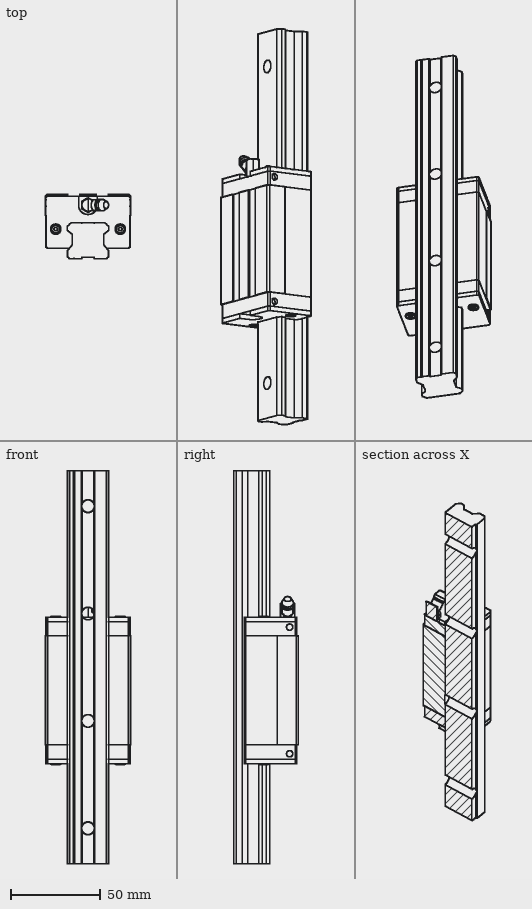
import cadquery as cq


RAIL_LENGTH = 220.0
RAIL_HEIGHT = 20.2
RAIL_WIDTH = 23.0
RAIL_TOP_HALF_WIDTH = 9.5
WAIST_HALF_WIDTH = 8.8
HEAD_TOP_Y = 18.3
HEAD_BOTTOM_Y = 16.0
RACEWAY_BREAK = (10.5, 15.2)
WAIST_TOP_Y = 13.9
WAIST_BOTTOM_Y = 8.0
FOOT_TOP_Y = 4.6
FOOT_CHAMFER = 1.3
RELIEF_HALF_WIDTH = 3.7
RELIEF_FLOOR_HALF_WIDTH = 3.0
RELIEF_DEPTH = 0.9
MARK_X = -8.0
MARK_WIDTH = 0.9
MARK_DEPTH = 0.5
HOLE_DIAMETER = 7.0
HOLE_PITCH = 60.0
HOLE_COUNT = 4

CARRIAGE_CENTER_Z = -13.0
BLOCK_LENGTH = 61.0
CAP_LENGTH = 8.0
SEAL_LENGTH = 2.6
CARRIAGE_BOTTOM_Y = 6.0
BLOCK_TOP_Y = 36.0
BLOCK_HALF_WIDTH = 24.0
BLOCK_STEP_Y = 24.5
BLOCK_TOP_CHAMFER = 1.0
CAP_TOP_Y = 35.2
CAP_HALF_WIDTH = 23.5
CAP_TOP_CHAMFER = 0.9
BOTTOM_CHAMFER_WIDTH = 1.0
BOTTOM_CHAMFER_HEIGHT = 0.7
PAD_GROOVE_INNER_X = 4.6
PAD_GROOVE_OUTER_X = 11.2
PAD_GROOVE_DEPTH = 0.9

PORT_DIAMETER = 3.5
PORT_DEPTH = 2.2
PORT_Y = 31.2
PORT_OFFSET_Z = 35.5

SCREW_X = 18.0
SCREW_Y = 16.7
SCREW_HEAD_DIAMETER = 5.7
SCREW_HEAD_HEIGHT = 0.5
SCREW_RIM_HEIGHT = 0.2
SCREW_TOP_DIAMETER = 4.5
SOCKET_DIAMETER = 2.2
SOCKET_DEPTH = 1.0

NIPPLE_Y = 30.1
NOTCH_RADIUS = 5.3
HEX_CIRCUMDIAMETER = 8.1
HEX_HEIGHT = 10.5
HEX_CHAMFER = 0.7
SPOUT_ANGLE = 45.0
SPOUT_START = 3.7
COLLAR_RADIUS = 3.0
NECK_RADIUS = 2.2
HEAD_RADIUS = 3.3
TIP_RADIUS = 2.0
COLLAR_LENGTH = 4.8
NECK_LENGTH = 0.9
HEAD_LENGTH = 1.8
TIP_LENGTH = 3.0

rail_half_width = RAIL_WIDTH / 2

cap_inner = BLOCK_LENGTH / 2
seal_inner = cap_inner + CAP_LENGTH
seal_outer = seal_inner + SEAL_LENGTH


def mirrored_outline(right_side):
    """Close a right-hand outline with its mirror image across X = 0."""
    left_side = [(-x, y) for x, y in reversed(right_side)]
    return cq.Workplane("XY").polyline(right_side + left_side).close()


def rail_prism():
    """Full-length rail section without its grooves and holes."""
    right_side = [
        (rail_half_width - FOOT_CHAMFER, 0),
        (rail_half_width, FOOT_CHAMFER),
        (rail_half_width, FOOT_TOP_Y),
        (WAIST_HALF_WIDTH, WAIST_BOTTOM_Y),
        (WAIST_HALF_WIDTH, WAIST_TOP_Y),
        RACEWAY_BREAK,
        (rail_half_width, HEAD_BOTTOM_Y),
        (rail_half_width, HEAD_TOP_Y),
        (RAIL_TOP_HALF_WIDTH, RAIL_HEIGHT),
    ]
    prism = mirrored_outline(right_side).extrude(RAIL_LENGTH)
    return prism.translate((0, 0, -RAIL_LENGTH / 2))


def make_rail():
    relief = mirrored_outline([(RELIEF_HALF_WIDTH, 0), (RELIEF_FLOOR_HALF_WIDTH, RELIEF_DEPTH)])
    mark = (
        cq.Workplane("XY")
        .polyline([(MARK_X - MARK_WIDTH / 2, 0), (MARK_X + MARK_WIDTH / 2, 0), (MARK_X, MARK_DEPTH)])
        .close()
    )
    rail = rail_prism()
    for groove in (relief, mark):
        rail = rail.cut(groove.extrude(RAIL_LENGTH / 2, both=True))
    holes = (
        cq.Workplane("XZ")
        .rarray(2.2, HOLE_PITCH, 1, HOLE_COUNT)
        .circle(HOLE_DIAMETER / 2)
        .extrude(-RAIL_HEIGHT)
    )
    return rail.cut(holes)


def carriage_outline(upper_points):
    """Outline with the chamfered lower corners that block, caps and seals share."""
    lower_points = [
        (CAP_HALF_WIDTH - BOTTOM_CHAMFER_WIDTH, CARRIAGE_BOTTOM_Y),
        (CAP_HALF_WIDTH, CARRIAGE_BOTTOM_Y + BOTTOM_CHAMFER_HEIGHT),
    ]
    return mirrored_outline(lower_points + upper_points)


def make_block():
    upper_points = [
        (CAP_HALF_WIDTH, BLOCK_STEP_Y),
        (BLOCK_HALF_WIDTH, BLOCK_STEP_Y),
        (BLOCK_HALF_WIDTH, BLOCK_TOP_Y - BLOCK_TOP_CHAMFER),
        (BLOCK_HALF_WIDTH - BLOCK_TOP_CHAMFER, BLOCK_TOP_Y),
    ]
    block = carriage_outline(upper_points).extrude(BLOCK_LENGTH)
    groove_x = (PAD_GROOVE_INNER_X + PAD_GROOVE_OUTER_X) / 2
    groove_width = PAD_GROOVE_OUTER_X - PAD_GROOVE_INNER_X
    grooves = (
        cq.Workplane("XY")
        .pushPoints([(side * groove_x, BLOCK_TOP_Y) for side in (-1, 1)])
        .rect(groove_width, 2 * PAD_GROOVE_DEPTH)
        .extrude(BLOCK_LENGTH)
    )
    block = block.cut(grooves).translate((0, 0, CARRIAGE_CENTER_Z - BLOCK_LENGTH / 2))
    return block.cut(rail_prism())


def end_plate(inner, length):
    """Slab with the end-cap outline, starting at `inner` above the carriage middle."""
    upper_points = [
        (CAP_HALF_WIDTH, CAP_TOP_Y - CAP_TOP_CHAMFER),
        (CAP_HALF_WIDTH - CAP_TOP_CHAMFER, CAP_TOP_Y),
    ]
    plate = carriage_outline(upper_points).extrude(length)
    return plate.translate((0, 0, CARRIAGE_CENTER_Z + inner)).cut(rail_prism())


def at_end(upper_body, end):
    """Keep a body at the upper end (+1) or mirror it to the lower end (-1)."""
    if end > 0:
        return upper_body
    return upper_body.mirror("XY", (0, 0, CARRIAGE_CENTER_Z))


def make_end_cap(end):
    cap = end_plate(cap_inner, CAP_LENGTH)
    port_z = CARRIAGE_CENTER_Z + PORT_OFFSET_Z
    for side in (-1, 1):
        port = (
            cq.Workplane("YZ", origin=(side * CAP_HALF_WIDTH, PORT_Y, port_z))
            .circle(PORT_DIAMETER / 2)
            .extrude(-side * PORT_DEPTH)
        )
        cap = cap.cut(port)
    return at_end(cap, end)


def screw_head_and_socket(side):
    """Screw head standing on the seal face, and the hexagonal socket to cut from it."""
    face = cq.Workplane("XY", origin=(side * SCREW_X, SCREW_Y, CARRIAGE_CENTER_Z + seal_outer))
    head = (
        face.circle(SCREW_HEAD_DIAMETER / 2)
        .extrude(SCREW_RIM_HEIGHT)
        .faces(">Z")
        .workplane()
        .circle(SCREW_HEAD_DIAMETER / 2)
        .workplane(offset=SCREW_HEAD_HEIGHT - SCREW_RIM_HEIGHT)
        .circle(SCREW_TOP_DIAMETER / 2)
        .loft()
    )
    top = face.workplane(offset=SCREW_HEAD_HEIGHT)
    socket = top.polygon(6, SOCKET_DIAMETER).extrude(-SOCKET_DEPTH)
    return head, socket


def make_end_seal(end):
    seal = end_plate(seal_inner, SEAL_LENGTH)
    notch = (
        cq.Workplane("XY", origin=(0, 0, CARRIAGE_CENTER_Z + seal_inner))
        .moveTo(NOTCH_RADIUS, CAP_TOP_Y)
        .lineTo(-NOTCH_RADIUS, CAP_TOP_Y)
        .lineTo(-NOTCH_RADIUS, NIPPLE_Y)
        .threePointArc((0, NIPPLE_Y - NOTCH_RADIUS), (NOTCH_RADIUS, NIPPLE_Y))
        .close()
        .extrude(SEAL_LENGTH)
    )
    seal = seal.cut(notch)
    for side in (-1, 1):
        head, socket = screw_head_and_socket(side)
        seal = seal.union(head).cut(socket)
    return at_end(seal, end)


def make_nipple():
    """Hexagonal post cut off at 45 degrees, with a spout leaning toward +X."""
    base_z = CARRIAGE_CENTER_Z + seal_inner
    post = (
        cq.Workplane("XY", origin=(0, NIPPLE_Y, base_z))
        .transformed(rotate=(0, 0, 90))
        .polygon(6, HEX_CIRCUMDIAMETER)
        .extrude(HEX_HEIGHT)
    )
    bevel = (
        cq.Workplane("XY", origin=(0, NIPPLE_Y, base_z))
        .circle(HEX_CIRCUMDIAMETER / 2)
        .extrude(HEX_HEIGHT)
        .faces(">Z")
        .chamfer(HEX_CHAMFER)
    )
    post = post.intersect(bevel)

    top_z = base_z + HEX_HEIGHT
    reach = HEX_CIRCUMDIAMETER / 2
    shoulder = (
        cq.Workplane("XZ", origin=(0, NIPPLE_Y, 0))
        .polyline([(0, top_z), (reach, top_z), (reach, top_z - reach)])
        .close()
        .extrude(reach, both=True)
    )
    post = post.cut(shoulder)

    collar_end = SPOUT_START + COLLAR_LENGTH
    neck_end = collar_end + NECK_LENGTH
    head_end = neck_end + HEAD_LENGTH
    tip_end = head_end + TIP_LENGTH
    half_profile = [
        (0, SPOUT_START),
        (COLLAR_RADIUS, SPOUT_START),
        (COLLAR_RADIUS, collar_end),
        (NECK_RADIUS, collar_end),
        (NECK_RADIUS, neck_end),
        (HEAD_RADIUS, neck_end),
        (HEAD_RADIUS, head_end),
        (TIP_RADIUS, tip_end),
        (0, tip_end),
    ]
    spout = cq.Workplane("XZ").polyline(half_profile).close().revolve(360, (0, 0), (0, 1))
    spout = spout.rotate((0, 0, 0), (0, 1, 0), SPOUT_ANGLE)
    spout = spout.translate((0, NIPPLE_Y, base_z + SEAL_LENGTH))
    return post.union(spout)


rail = make_rail()
block = make_block()
end_caps = [make_end_cap(end) for end in (-1, 1)]
end_seals = [make_end_seal(end) for end in (-1, 1)]
nipple = make_nipple()

result = cq.Compound.makeCompound(
    [
        rail.val(),
        block.val(),
        *[cap.val() for cap in end_caps],
        *[seal.val() for seal in end_seals],
        nipple.val(),
    ]
)